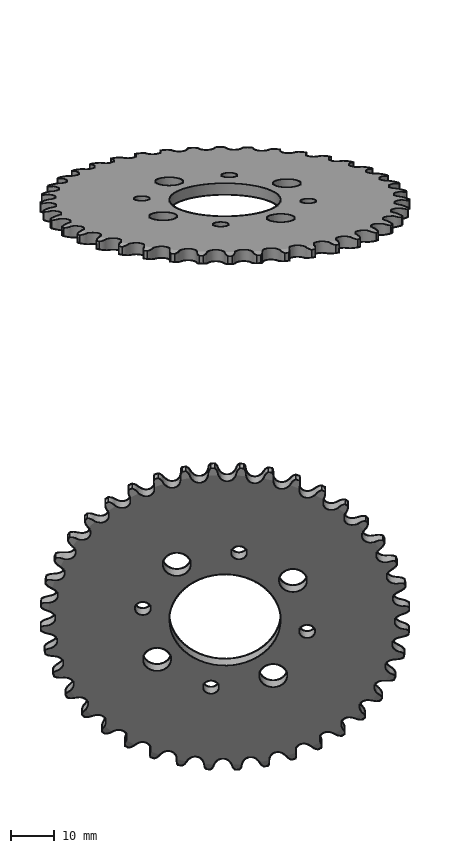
import cadquery as cq
import math

tooth_count = 40
outer_radius = 42.2
root_radius = 38.8
thickness = 2.8

seat_radius = 1.85
flank_radius = 3.3
tip_radius = 2.4
seat_end_slope = math.radians(40)
flank_end_slope = math.radians(12)

bevel_inner_radius = 40.5
bevel_depth = 0.4

bore_diameter = 25.5
hole_circle_diameter = 38.1
large_hole_diameter = 6.4
small_hole_diameter = 3.6
holes_per_ring = 4
large_hole_start = 0
small_hole_start = 45

pitch_angle = 360 / tooth_count
cutter_overrun = 0.85


def polar(radius, angle, centre):
    """Point at a radius and an angle in radians about a centre."""
    return (centre[0] + radius * math.cos(angle), centre[1] + radius * math.sin(angle))


def mirrored(point):
    return (-point[0], point[1])


def outer_circle_angle(centre, radius):
    """Angle about `centre`, on its gap side, at which its circle meets the outer circle."""
    centre_distance = math.hypot(*centre)
    outward = math.atan2(centre[1], centre[0])
    cosine = (outer_radius**2 - radius**2 - centre_distance**2) / (2 * radius * centre_distance)
    return outward + math.acos(cosine)


def tooth_gap():
    """Cutter for the gap centred on +Y, symmetric about the Y axis."""
    seat_centre = (0, root_radius + seat_radius)
    seat_bottom = (0, root_radius)
    seat_end = polar(seat_radius, -seat_end_slope, seat_centre)

    flank_centre = polar(flank_radius, math.pi - seat_end_slope, seat_end)
    flank_middle = polar(flank_radius, -(seat_end_slope + flank_end_slope) / 2, flank_centre)
    flank_end = polar(flank_radius, -flank_end_slope, flank_centre)

    tip_centre = polar(tip_radius, -flank_end_slope, flank_end)
    tip_start_angle = math.pi - flank_end_slope
    tip_end_angle = outer_circle_angle(tip_centre, tip_radius)
    tip_middle = polar(tip_radius, (tip_start_angle + tip_end_angle) / 2, tip_centre)
    tip_end = polar(tip_radius, tip_end_angle, tip_centre)
    above_tip = (tip_end[0], tip_end[1] + cutter_overrun)

    return (
        cq.Workplane("XY")
        .moveTo(*mirrored(above_tip))
        .lineTo(*mirrored(tip_end))
        .threePointArc(mirrored(tip_middle), mirrored(flank_end))
        .threePointArc(mirrored(flank_middle), mirrored(seat_end))
        .threePointArc(seat_bottom, seat_end)
        .threePointArc(flank_middle, flank_end)
        .threePointArc(tip_middle, tip_end)
        .lineTo(*above_tip)
        .close()
        .extrude(thickness)
    )


def blank():
    """Disc with a shallow cone turned on both faces of its rim."""
    return (
        cq.Workplane("XZ")
        .polyline([
            (0, 0),
            (bevel_inner_radius, 0),
            (outer_radius, bevel_depth),
            (outer_radius, thickness - bevel_depth),
            (bevel_inner_radius, thickness),
            (0, thickness),
        ])
        .close()
        .revolve(360, (0, 0), (0, 1))
    )


def hole_ring(diameter, start_angle):
    return (
        cq.Workplane("XY")
        .polarArray(hole_circle_diameter / 2, start_angle, 360, holes_per_ring)
        .circle(diameter / 2)
        .extrude(thickness)
    )


gap = tooth_gap().val()
gaps = [gap.rotate((0, 0, 0), (0, 0, 1), index * pitch_angle) for index in range(tooth_count)]
bore = cq.Workplane("XY").circle(bore_diameter / 2).extrude(thickness)

result = blank().cut(cq.Workplane("XY").newObject(gaps).combine())
result = result.cut(bore)
result = result.cut(hole_ring(large_hole_diameter, large_hole_start))
result = result.cut(hole_ring(small_hole_diameter, small_hole_start))